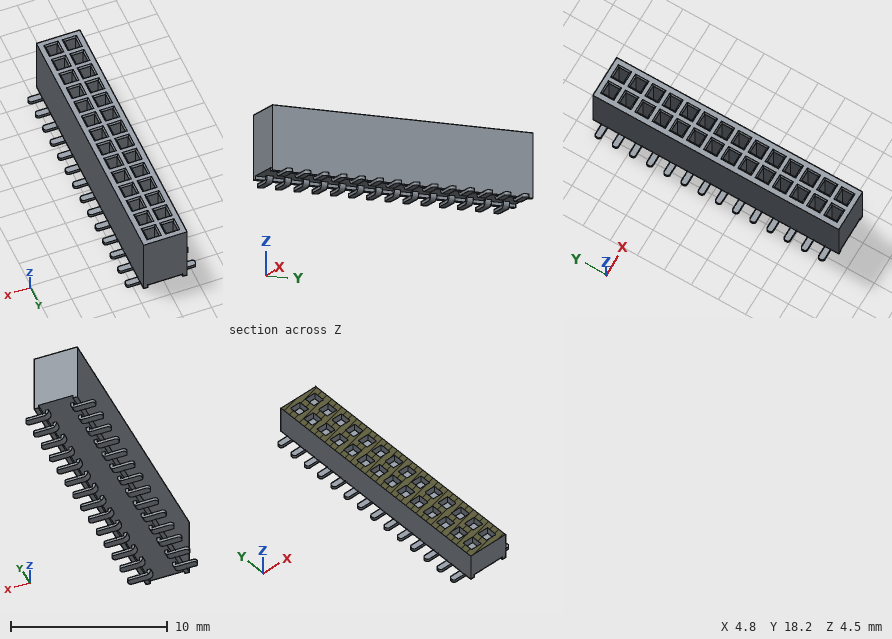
import cadquery as cq


length = 18.18
overall_height = 4.5
housing_width = 3.0
lead_thickness = 0.22
housing_bottom = lead_thickness
recess_width = 2.4
recess_height = 0.22
recess_ceiling = housing_bottom + recess_height

position_count = 14
end_margin = 0.84
pitch = (length - 2 * end_margin) / (position_count - 1)
position_ys = [end_margin - length / 2 + i * pitch for i in range(position_count)]
row_xs = [-pitch / 2, pitch / 2]

pocket_mouth = 0.98
pocket_width = 0.78
pocket_depth = 2.73
mouth_chamfer = (pocket_mouth - pocket_width) / 2
mouth_taper_angle = 45

lead_span = 4.8
lead_width = 0.44
lead_tip_radius = 0.18
bend_radius = 0.33
riser_near_x = 0.76
riser_far_x = riser_near_x + lead_thickness
riser_embed = 0.1


def make_housing():
    """Plain block with a shallow full-length recess along its underside."""
    base = cq.Workplane("XY").workplane(offset=housing_bottom)
    block = base.rect(housing_width, length).extrude(overall_height - housing_bottom)
    recess = base.rect(recess_width, length).extrude(recess_height)
    return block.cut(recess)


def make_pockets():
    """Square blind pockets with a chamfered mouth at the top face."""
    centers = [(x, y) for x in row_xs for y in position_ys]
    top = cq.Workplane("XY").workplane(offset=overall_height).pushPoints(centers)
    wells = top.rect(pocket_width, pocket_width).extrude(-pocket_depth)
    mouths = top.rect(pocket_mouth, pocket_mouth).extrude(-mouth_chamfer, taper=mouth_taper_angle)
    return wells.union(mouths)


def make_lead():
    """Lead on the +X side: flat foot with a rounded tip, bent up into the housing."""
    tip_x = lead_span / 2
    riser_top = recess_ceiling + riser_embed
    profile = (
        cq.Workplane("XZ")
        .moveTo(tip_x, 0)
        .lineTo(riser_near_x + bend_radius, 0)
        .radiusArc((riser_near_x, bend_radius), bend_radius)
        .lineTo(riser_near_x, riser_top)
        .lineTo(riser_far_x, riser_top)
        .lineTo(riser_far_x, lead_thickness)
        .lineTo(tip_x, lead_thickness)
        .close()
    )
    lead = profile.extrude(lead_width / 2, both=True)
    return lead.edges("|Z and >X").fillet(lead_tip_radius)


result = make_housing().cut(make_pockets())
right_lead = make_lead()
left_lead = right_lead.mirror("YZ")
for y in position_ys:
    result = result.union(right_lead.translate((0, y, 0)))
    result = result.union(left_lead.translate((0, y, 0)))